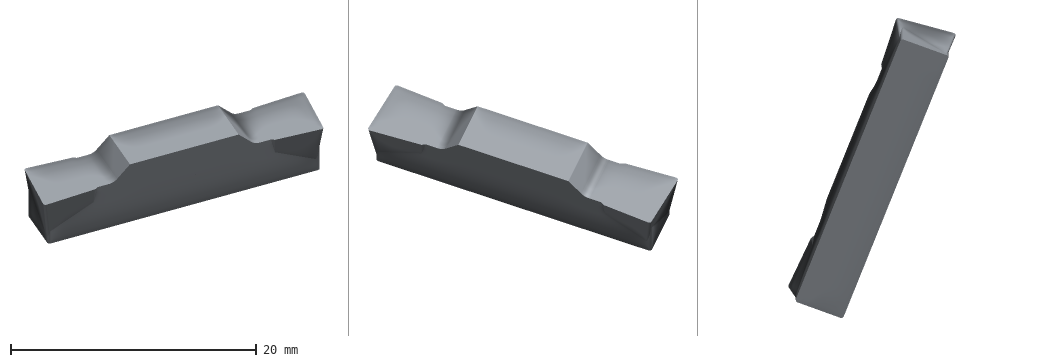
import cadquery as cq
import math

shank_width = 4.18
shank_length = 24.25
shank_edge_radius = 0.23
total_height = 5.98
head_top = 4.53
crown_length = 9.68
ramp_angle = 45.0
ramp_foot_radius = 1.0

head_width = 5.07
overall_length = 25.33
edge_lead_angle = 5.0
flank_angle = 3.3
relief_angle = 7.0
neck_y = 7.7
neck_angle = 32.0
shoulder_y = 8.0
neck_end_y = 6.85
head_edge_radius = 0.2


def make_shank():
    ramp_run = (total_height - head_top) / math.tan(math.radians(ramp_angle))
    crown_half = crown_length / 2
    foot = crown_half + ramp_run
    end = shank_length / 2
    profile = [
        (-end, 0), (end, 0), (end, head_top), (foot, head_top),
        (crown_half, total_height), (-crown_half, total_height),
        (-foot, head_top), (-end, head_top),
    ]
    shank = cq.Workplane("YZ").polyline(profile).close().extrude(shank_width / 2, both=True)
    shank = shank.edges("|Z").fillet(shank_edge_radius)
    margin = 0.03
    ramp_feet = cq.selectors.BoxSelector(
        (-shank_width, -foot - margin, head_top - margin), (shank_width, foot + margin, head_top + margin)
    )
    return shank.edges("|X").edges(ramp_feet).fillet(ramp_foot_radius)


def make_head():
    """Head at the +Y end, with its leading corner on the -X side."""
    half_width = head_width / 2
    lead = math.radians(edge_lead_angle)
    flank = math.radians(flank_angle)
    corner_overshoot = head_edge_radius * (
        (math.cos(flank) + math.sin(lead)) / math.cos(lead + flank) - 1
    )
    tip_reach = overall_length / 2 + corner_overshoot
    trailing_y = tip_reach - head_width * math.tan(lead)
    shoulder_x = half_width - (tip_reach - shoulder_y) * math.tan(flank)
    neck_end_x = shank_width / 2 - (neck_y - neck_end_y) * math.tan(math.radians(neck_angle))
    plan = [
        (-half_width, tip_reach), (half_width, trailing_y), (shoulder_x, shoulder_y),
        (neck_end_x, neck_end_y), (-neck_end_x, neck_end_y), (-shoulder_x, shoulder_y),
    ]
    head = (
        cq.Workplane("XY").workplane(offset=head_top)
        .polyline(plan).close().extrude(-head_top, taper=relief_angle)
    )
    return head.edges("not #Z").fillet(head_edge_radius)


head = make_head()
opposite_head = head.rotate((0, 0, 0), (0, 0, 1), 180)
result = make_shank().union(head).union(opposite_head).clean()